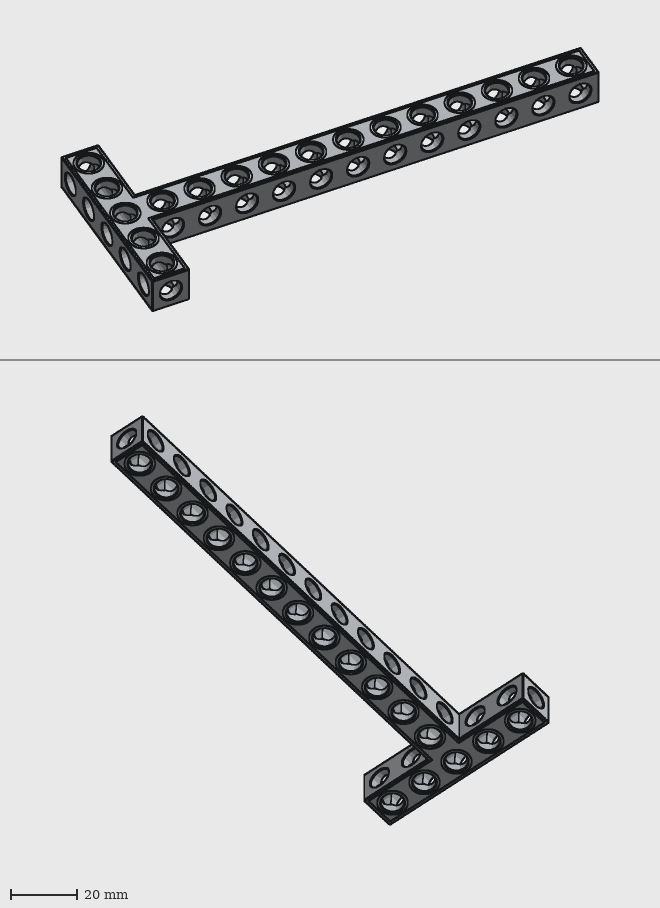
import cadquery as cq

length = 162.5
stem_cells = 13
bar_cells = 5
hole_diameter = 7.0
chamfer = 0.31
collar_diameter = 9.3
rim_width = 1.07
recess_depth = 0.25
cross_pitch_gap = 0.045

pitch = length / stem_cells
beam = pitch
bar_length = bar_cells * pitch
front_y = -length / 2
bar_axis_y = front_y + pitch / 2
stem_end_axis_y = length / 2 - pitch / 2
cross_pitch = pitch - cross_pitch_gap

bar_hole_xs = [(i - (bar_cells - 1) / 2) * pitch for i in range(bar_cells)]
stem_hole_ys = [stem_end_axis_y - i * pitch for i in range(stem_cells - 1)]
stem_cross_hole_ys = [stem_end_axis_y - i * cross_pitch for i in range(stem_cells - 1)]
vertical_hole_centres = [(x, bar_axis_y) for x in bar_hole_xs] + [(0, y) for y in stem_hole_ys]


def crossbar(inset, height):
    """Crossbar block centred on Z, with its outline moved inward by inset."""
    block = cq.Workplane("XY").box(bar_length - 2 * inset, beam - 2 * inset, height)
    return block.translate((0, bar_axis_y, 0))


def stem(inset, height):
    """Stem block centred on Z, with its outline moved inward by inset."""
    return cq.Workplane("XY").box(beam - 2 * inset, length - 2 * inset, height)


def recessed_panel():
    """Volume removed from the top face, leaving the rim and the hole collars."""
    panel = crossbar(rim_width, recess_depth).union(stem(rim_width, recess_depth))
    collars = (
        cq.Workplane("XY")
        .pushPoints(vertical_hole_centres)
        .circle(collar_diameter / 2)
        .extrude(recess_depth, both=True)
    )
    return panel.cut(collars).translate((0, 0, beam / 2 - recess_depth / 2))


def bore(start, direction, depth):
    """Round cutter from start along direction, with a chamfered mouth at each end."""
    radius = hole_diameter / 2
    mouth_radius = radius + chamfer
    start = cq.Vector(*start)
    direction = cq.Vector(*direction)
    end = start + direction * depth
    cylinder = cq.Solid.makeCylinder(radius, depth, start, direction)
    entry = cq.Solid.makeCone(mouth_radius, radius, chamfer, start, direction)
    leave = cq.Solid.makeCone(mouth_radius, radius, chamfer, end, direction * -1)
    return cylinder.fuse(entry, leave)


def cut_bores(body, starts, direction, depth):
    """Cut one bore of the given depth from each start point."""
    for start in starts:
        body = body.cut(cq.Workplane(obj=bore(start, direction, depth)))
    return body


body = crossbar(0, beam).edges().chamfer(chamfer)
body = body.union(stem(0, beam).edges().chamfer(chamfer))

top_panel = recessed_panel()
body = body.cut(top_panel).cut(top_panel.mirror("XY"))

body = cut_bores(body, [(x, y, -beam / 2) for x, y in vertical_hole_centres], (0, 0, 1), beam)

side_starts = [(x, front_y, 0) for x in bar_hole_xs if x != 0]
body = cut_bores(body, side_starts, (0, 1, 0), beam)
body = cut_bores(body, [(0, front_y, 0)], (0, 1, 0), length)

body = cut_bores(body, [(-beam / 2, y, 0) for y in stem_cross_hole_ys], (1, 0, 0), beam)
body = cut_bores(body, [(-bar_length / 2, bar_axis_y, 0)], (1, 0, 0), bar_length)

result = body